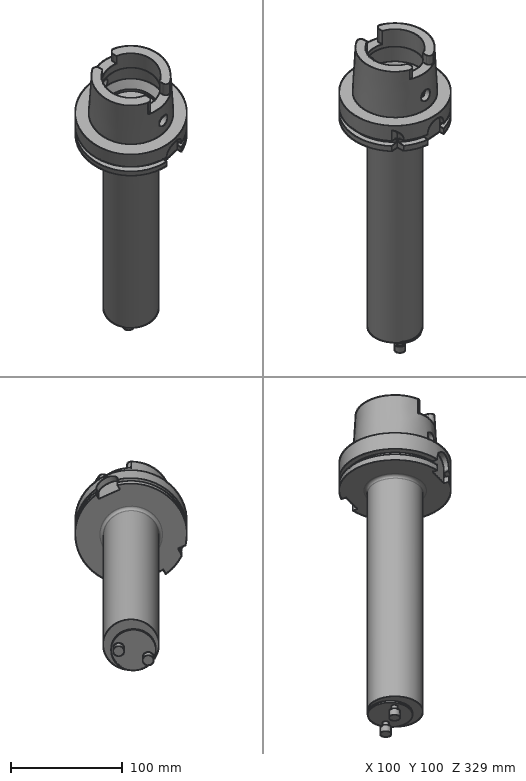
import cadquery as cq


taper_length = 50.0
taper_base_dia = 76.0
taper_ratio = 0.1
taper_top_dia = taper_base_dia - taper_ratio * taper_length

bore_dia = 53.0
bore_lip_length = 19.7
undercut_dia = 63.0
bore_cone_top = 9.5
bore_bottom_dia = 50.0
bore_floor_height = 0

slot_width = 20.5
slot_corner_radius = 4.0
left_slot_depth = 10.2
right_slot_depth = 15.0

cross_hole_dia = 12.0
cross_hole_height = 15.0

flange_dia = 100.0
flange_thickness = 29.0
groove_center_depth = 20.0
groove_mouth_width = 6.0
groove_floor_width = 4.3
groove_floor_dia = 90.8

pocket_width = 21.0
pocket_height = 24.0
key_floor_x = 44.0
side_pocket_floor_x = 31.2
side_pocket_y = 42.0

column_dia = 50.0
neck_radius = 3.0

disc_dia = 40.0
disc_thickness = 2.0
disc_center_x = -5.0
screw_offset = 10
screw_shank_dia = 6.0
screw_shank_length = 5.0
screw_head_dia = 10
screw_head_height = 7.0

overall_height = 329
column_length = (overall_height - taper_length - flange_thickness - disc_thickness
                 - screw_shank_length - screw_head_height)
column_bottom = -flange_thickness - column_length
disc_bottom = column_bottom - disc_thickness


def cylinder_down(diameter, length, x, y, top):
    """Vertical cylinder hanging down from the height `top`."""
    return cq.Workplane("XY", origin=(x, y, top)).circle(diameter / 2).extrude(-length)


def make_turned_body():
    """Shank, grooved flange and column, with a concave fillet under the flange."""
    flange_radius = flange_dia / 2
    column_radius = column_dia / 2
    neck_bottom = -flange_thickness - neck_radius
    arc_drop = neck_radius * (1 - 0.5 ** 0.5)
    return (
        cq.Workplane("XZ")
        .moveTo(0, taper_length)
        .lineTo(taper_top_dia / 2, taper_length)
        .lineTo(taper_base_dia / 2, 0)
        .lineTo(flange_radius, 0)
        .lineTo(flange_radius, -groove_center_depth + groove_mouth_width / 2)
        .lineTo(groove_floor_dia / 2, -groove_center_depth + groove_floor_width / 2)
        .lineTo(groove_floor_dia / 2, -groove_center_depth - groove_floor_width / 2)
        .lineTo(flange_radius, -groove_center_depth - groove_mouth_width / 2)
        .lineTo(flange_radius, -flange_thickness)
        .lineTo(column_radius + neck_radius, -flange_thickness)
        .threePointArc(
            (column_radius + arc_drop, -flange_thickness - arc_drop),
            (column_radius, neck_bottom),
        )
        .lineTo(column_radius, column_bottom)
        .lineTo(0, column_bottom)
        .close()
        .revolve(360, (0, 0, 0), (0, 1, 0))
    )


def make_bore():
    """Bore with a plain lip, a wider undercut and a 45 degree cone leading down to a narrower blind end."""
    lip_bottom = taper_length - bore_lip_length
    cone_bottom = bore_cone_top - (undercut_dia - bore_bottom_dia) / 2
    return (
        cq.Workplane("XZ")
        .moveTo(0, taper_length)
        .lineTo(bore_dia / 2, taper_length)
        .lineTo(bore_dia / 2, lip_bottom)
        .lineTo(undercut_dia / 2, lip_bottom)
        .lineTo(undercut_dia / 2, bore_cone_top)
        .lineTo(bore_bottom_dia / 2, cone_bottom)
        .lineTo(bore_bottom_dia / 2, bore_floor_height)
        .lineTo(0, bore_floor_height)
        .close()
        .revolve(360, (0, 0, 0), (0, 1, 0))
    )


def make_drive_slot(side, depth):
    """Slot cutter for the -X (side = -1) or +X (side = 1) wall, flaring outwards over rounded corners."""
    reach = taper_base_dia / 2
    half = slot_width / 2
    top_radius = taper_top_dia / 2
    center_y = half + slot_corner_radius
    center_x = ((top_radius - slot_corner_radius) ** 2 - center_y ** 2) ** 0.5
    touch_y = center_y * top_radius / (top_radius - slot_corner_radius)
    slot = (
        cq.Workplane("XY", origin=(0, 0, taper_length - depth))
        .center(side * reach / 2, 0)
        .rect(reach, slot_width)
        .extrude(depth)
    )
    for y_side in (-1, 1):
        flare = (
            cq.Workplane("XY", origin=(0, 0, taper_length - depth))
            .moveTo(side * center_x, y_side * half)
            .lineTo(side * reach, y_side * half)
            .lineTo(side * reach, y_side * touch_y)
            .lineTo(side * center_x, y_side * touch_y)
            .close()
            .extrude(depth)
        )
        corner_dia = 2 * slot_corner_radius
        corner = cylinder_down(corner_dia, depth, side * center_x, y_side * center_y, taper_length)
        slot = slot.union(flare.cut(corner))
    return slot


def make_flange_pocket(side, floor_x, y):
    """Round-topped pocket cutter, open to the flange's underside, from a flat floor out along X."""
    radius = pocket_width / 2
    bottom = -flange_thickness
    arch_start = bottom + pocket_height - radius
    return (
        cq.Workplane("YZ", origin=(side * floor_x, 0, 0))
        .moveTo(y - radius, bottom)
        .lineTo(y - radius, arch_start)
        .threePointArc((y, arch_start + radius), (y + radius, arch_start))
        .lineTo(y + radius, bottom)
        .close()
        .extrude(side * flange_dia / 2)
    )


def make_screw(x, y):
    """Screw hanging from the disc with its head at the bottom."""
    shank = cylinder_down(screw_shank_dia, screw_shank_length, x, y, disc_bottom)
    head = cylinder_down(screw_head_dia, screw_head_height, x, y, disc_bottom - screw_shank_length)
    return shank.union(head)


result = make_turned_body().cut(make_bore())

result = result.cut(make_drive_slot(-1, left_slot_depth))
result = result.cut(make_drive_slot(1, right_slot_depth))

cross_hole = (
    cq.Workplane("YZ", origin=(0, 0, cross_hole_height))
    .circle(cross_hole_dia / 2)
    .extrude(taper_base_dia / 2, both=True)
)
result = result.cut(cross_hole)

for side in (-1, 1):
    result = result.cut(make_flange_pocket(side, key_floor_x, 0))
result = result.cut(make_flange_pocket(-1, side_pocket_floor_x, side_pocket_y))

result = result.union(cylinder_down(disc_dia, disc_thickness, disc_center_x, 0, column_bottom))
for direction in (-1, 1):
    screw_x = disc_center_x + direction * screw_offset
    screw_y = -direction * screw_offset
    result = result.union(make_screw(screw_x, screw_y))